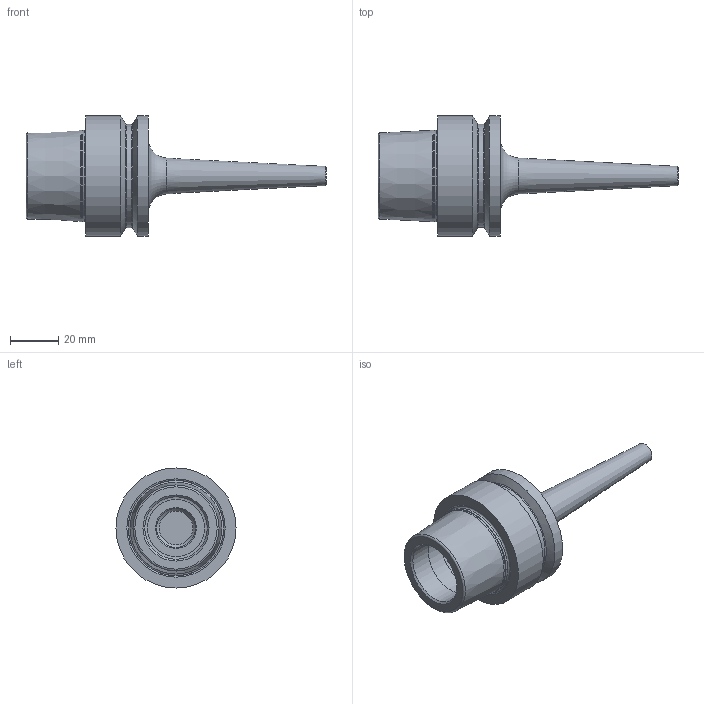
import cadquery as cq
import math


shank_length = 24.9
tool_reach = 100.0
rear_x = -shank_length

taper_ratio = 1 / 9.98
shank_large_radius = 19.0
taper_length = 22.5
shank_rear_round = 0.8
relief_radius = 18.95
relief_start_x = -1.6
relief_end_x = -1.25
shank_foot_radius = 19.1
foot_fillet = 0.7

undercut_radius = 20.45
undercut_depth = 0.3
undercut_chamfer = 0.6

flange_radius = 25.0
flange_length = 26.0
groove_centre_x = 18.05
groove_floor_width = 2.9
groove_floor_radius = 21.5
groove_floor_fillet = 0.5
groove_wall_angle = 30.0

nose_tip_radius = 4.0
nose_half_angle = 3.0
nose_root_fillet = 8.0
tip_chamfer = 0.4

bore_radius = 13.0
bore_chamfer = 0.75
mouth_depth = 9.85
chamber_radius = 14.5
chamber_depth = 21.13
chamber_floor_round = 2.63
pit_radius = 8.15
pit_depth = 4.0
pit_mouth_chamfer = 0.3
pit_floor_bevel = 1.1


def ring_profile(points):
    """Solid of revolution about X from (x, radius) points closed by the axis."""
    outline = [(points[0][0], 0)] + points + [(points[-1][0], 0)]
    return cq.Workplane("XY").polyline(outline).close().revolve(360, (0, 0), (1, 0))


def make_shank():
    small_radius = shank_large_radius - taper_length * taper_ratio / 2
    foot_start_x = undercut_depth - foot_fillet
    foot_end_radius = shank_foot_radius + foot_fillet
    bend = foot_fillet * math.sqrt(0.5)
    foot_middle = (foot_start_x + bend, foot_end_radius - bend)
    shank = (
        cq.Workplane("XY")
        .moveTo(rear_x, 0)
        .lineTo(rear_x, small_radius)
        .lineTo(rear_x + taper_length, shank_large_radius)
        .lineTo(relief_start_x, relief_radius)
        .lineTo(relief_end_x, relief_radius)
        .lineTo(foot_start_x, shank_foot_radius)
        .threePointArc(foot_middle, (undercut_depth, foot_end_radius))
        .lineTo(undercut_depth, 0)
        .close()
        .revolve(360, (0, 0), (1, 0))
    )
    return shank.faces("<X").edges().fillet(shank_rear_round)


def make_flange():
    floor_start = groove_centre_x - groove_floor_width / 2
    floor_end = groove_centre_x + groove_floor_width / 2
    wall_run = (flange_radius - groove_floor_radius) * math.tan(math.radians(groove_wall_angle))
    flange = ring_profile([
        (0, flange_radius),
        (floor_start - wall_run, flange_radius),
        (floor_start, groove_floor_radius),
        (floor_end, groove_floor_radius),
        (floor_end + wall_run, flange_radius),
        (flange_length, flange_radius),
    ])
    groove_floor = cq.selectors.RadiusNthSelector(0)
    flange = flange.edges("%CIRCLE").edges(groove_floor).fillet(groove_floor_fillet)
    undercut = ring_profile([(0, undercut_radius), (undercut_depth, undercut_radius - undercut_chamfer)])
    return flange.cut(undercut)


def make_nose():
    slope = math.tan(math.radians(nose_half_angle))
    root_radius = nose_tip_radius + (tool_reach - flange_length) * slope
    nose = ring_profile([(flange_length, root_radius), (tool_reach, nose_tip_radius)])
    return nose.faces(">X").edges().chamfer(tip_chamfer)


def make_bore():
    floor_x = rear_x + chamber_depth
    shoulder_x = rear_x + mouth_depth
    bore = ring_profile([
        (rear_x, bore_radius + bore_chamfer),
        (rear_x + bore_chamfer, bore_radius),
        (shoulder_x, bore_radius),
        (shoulder_x, chamber_radius),
        (floor_x, chamber_radius),
    ])
    bore = bore.faces(">X").edges().fillet(chamber_floor_round)
    pit_floor_x = floor_x + pit_depth
    pit = ring_profile([
        (floor_x, pit_radius + pit_mouth_chamfer),
        (floor_x + pit_mouth_chamfer, pit_radius),
        (pit_floor_x - pit_floor_bevel, pit_radius),
        (pit_floor_x, pit_radius - pit_floor_bevel),
    ])
    return bore.union(pit)


body = make_flange().union(make_nose())
root_edge = cq.selectors.BoxSelector(
    (flange_length - 0.1, -10, -10), (flange_length + 0.1, 10, 10), boundingbox=True
)
body = body.edges(root_edge).fillet(nose_root_fillet)
result = body.union(make_shank()).cut(make_bore())